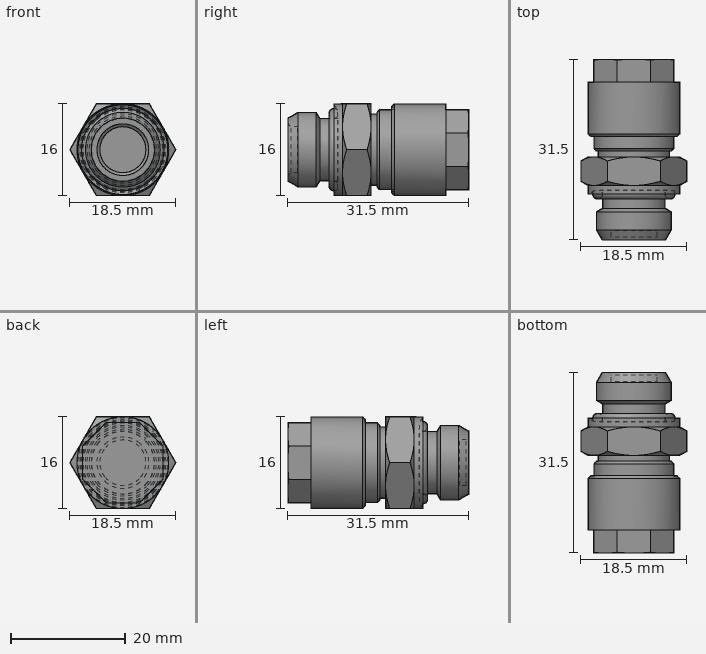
import cadquery as cq
import math

length = 31.5

thread_radius = 6.52
thread_tip_radius = 5.5
thread_tip_length = 1.75
thread_shoulder_start = 4.9
thread_end = 5.55
undercut_radius = 5.45
bore_radius = 4.0
bore_depth = 1.65
bore_chamfer = 0.5

hex_flats = 16.0
body_radius = hex_flats / 2
flange_start = 8.0
seal_section_radius = 0.85
seal_center_radius = 6.33
seal_groove_mouth_radius = 7.8
seal_groove_floor_radius = 6.8
seal_groove_depth = 0.7

hex_start = 9.5
hex_end = 14.5
hex_chamfer_angle = 30.0
neck_radius = 6.25
shoulder_start = 15.5
shoulder_radius = 6.95
shoulder_chamfer = 0.45

collar_start = 18.02
collar_end = 27.5
collar_chamfer = 0.5
collar_recess_radius = 7.3
collar_recess_depth = 0.5
octagon_flats = 14.0
octagon_chamfer_angle = 15.0


def revolve_about_y(points):
    """Revolve a closed (radius, Y) profile about the Y axis."""
    return cq.Workplane("XY").polyline(points).close().revolve(360, (0, 0), (0, 1))


def prism_along_y(sides, flats, start, end, turn=0.0):
    """Regular prism between two Y positions, turned about its own axis."""
    corner_diameter = flats / math.cos(math.pi / sides)
    prism = cq.Workplane("XZ", origin=(0, start, 0)).polygon(sides, corner_diameter).extrude(start - end)
    return prism.rotate((0, 0, 0), (0, 1, 0), turn)


def corner_drop(sides, flats, angle):
    """Radius at the corners and the axial length a corner chamfer takes there."""
    corner_radius = flats / 2 / math.cos(math.pi / sides)
    drop = (corner_radius - flats / 2) * math.tan(math.radians(angle))
    return corner_radius, drop


def make_turned_body():
    return revolve_about_y([
        (0, 0),
        (thread_tip_radius, 0),
        (thread_radius, thread_tip_length),
        (thread_radius, thread_shoulder_start),
        (undercut_radius, thread_end),
        (undercut_radius, flange_start),
        (body_radius, flange_start),
        (body_radius, hex_start),
        (neck_radius, hex_start),
        (neck_radius, shoulder_start),
        (shoulder_radius - shoulder_chamfer, shoulder_start),
        (shoulder_radius, shoulder_start + shoulder_chamfer),
        (shoulder_radius, collar_start),
        (body_radius - collar_chamfer, collar_start),
        (body_radius, collar_start + collar_chamfer),
        (body_radius, collar_end),
        (0, collar_end),
    ])


def make_hexagon():
    """Hexagon with corners on X, chamfered on both ends."""
    corner_radius, drop = corner_drop(6, hex_flats, hex_chamfer_angle)
    envelope = revolve_about_y([
        (0, hex_start),
        (body_radius, hex_start),
        (corner_radius, hex_start + drop),
        (corner_radius, hex_end - drop),
        (body_radius, hex_end),
        (0, hex_end),
    ])
    return prism_along_y(6, hex_flats, hex_start, hex_end).intersect(envelope)


def make_octagon():
    """Octagon with flats on X and Z, chamfered on its free end."""
    corner_radius, drop = corner_drop(8, octagon_flats, octagon_chamfer_angle)
    envelope = revolve_about_y([
        (0, collar_end),
        (corner_radius, collar_end),
        (corner_radius, length - drop),
        (octagon_flats / 2, length),
        (0, length),
    ])
    half_side_angle = 180 / 8
    return prism_along_y(8, octagon_flats, collar_end, length, half_side_angle).intersect(envelope)


def make_bore():
    return revolve_about_y([
        (0, 0),
        (bore_radius + bore_chamfer, 0),
        (bore_radius, bore_chamfer),
        (bore_radius, bore_depth),
        (0, bore_depth),
    ])


def make_seal_groove():
    groove_floor = flange_start + seal_groove_depth
    return revolve_about_y([
        (undercut_radius, flange_start),
        (seal_groove_mouth_radius, flange_start),
        (seal_groove_floor_radius, groove_floor),
        (undercut_radius, groove_floor),
    ])


def make_seal():
    """Round-section ring, half sunk into the flange groove."""
    section = cq.Workplane("XY").center(seal_center_radius, flange_start).circle(seal_section_radius)
    return section.revolve(360, (-seal_center_radius, 0), (-seal_center_radius, 1))


def make_collar_recess():
    """Narrow annular gap between the collar mouth and the shoulder."""
    recess_end = collar_start + collar_recess_depth
    return revolve_about_y([
        (shoulder_radius, collar_start),
        (collar_recess_radius, collar_start),
        (collar_recess_radius, recess_end),
        (shoulder_radius, recess_end),
    ])


result = (
    make_turned_body()
    .union(make_hexagon())
    .union(make_octagon())
    .cut(make_bore())
    .cut(make_seal_groove())
    .cut(make_collar_recess())
    .union(make_seal())
)